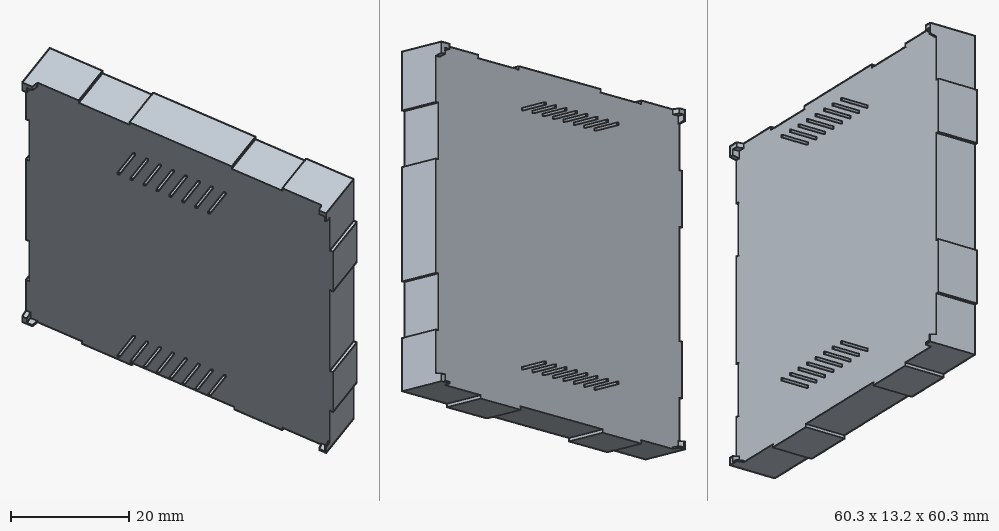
import cadquery as cq

overall = 60.3
lip = 0.6
body = overall - lip
thickness = 7.95
total_depth = 13.2

notch_width = 9.95
first_notch = 10.4
notch_pitch = 30.0
second_notch = first_notch + notch_pitch
notch_spans = (
    (first_notch, first_notch + notch_width),
    (second_notch, second_notch + notch_width),
)
bottom_tab_spans = ((11.0, 20.8), (40.9, second_notch + notch_width))

foot_height = 1.25
foot_wall = 0.3
foot_arm = 1.4
foot_draft = 0.3
foot_inner_start = lip + foot_wall
foot_inner_end = body - foot_wall

pin_length = total_depth - thickness
pin_diameter = 0.5
pin_count = 8
pin_row_length = 17.8
pin_row_spacing = 45.5


def block(across, down, y_start, y_end):
    """Box spanning two distances across, two distances down, and two Y limits."""
    width = across[1] - across[0]
    height = down[1] - down[0]
    box = cq.Workplane("XY").box(width, y_end - y_start, height, centered=False)
    return box.translate((across[0], y_start, -down[1]))


def make_housing():
    """Square block, notched on the left and top, tabbed on the right and bottom."""
    housing = block((0, body), (0, body), 0, thickness)
    notch_edge = (0, lip)
    tab_edge = (body, overall)
    for span in notch_spans:
        housing = housing.cut(block(notch_edge, span, 0, thickness))
        housing = housing.cut(block(span, notch_edge, 0, thickness))
        housing = housing.union(block(tab_edge, span, 0, thickness))
    for span in bottom_tab_spans:
        housing = housing.union(block(span, tab_edge, 0, thickness))
    return housing


def make_feet():
    """Square frame in which two flared channels leave only the corners."""
    inner = (foot_inner_start, foot_inner_end)
    frame = block((0, body), (0, body), -foot_height, 0)
    frame = frame.cut(block(inner, inner, -foot_height, 0))

    root_start = foot_inner_start + foot_arm
    root_end = foot_inner_end - foot_arm
    profile = [
        (root_start, 0),
        (root_end, 0),
        (root_end + foot_draft, -foot_height),
        (root_start - foot_draft, -foot_height),
    ]
    upright_channel = cq.Workplane("XY").polyline(profile).close().extrude(-body)
    level_channel = upright_channel.rotate((0, 0, 0), (0, 1, 0), 90).translate((body, 0, 0))
    return frame.cut(upright_channel).cut(level_channel)


def make_pins():
    """Round pins in an upper and a lower row."""
    pitch = pin_row_length / (pin_count - 1)
    row_start = (overall - pin_row_length) / 2
    upper_row = (overall - pin_row_spacing) / 2
    centers = [
        (row_start + index * pitch, -row)
        for row in (upper_row, upper_row + pin_row_spacing)
        for index in range(pin_count)
    ]
    return cq.Workplane("XZ").pushPoints(centers).circle(pin_diameter / 2).extrude(pin_length)


result = make_housing().union(make_feet()).union(make_pins())

result = result.translate((-overall / 2, 0, overall / 2))